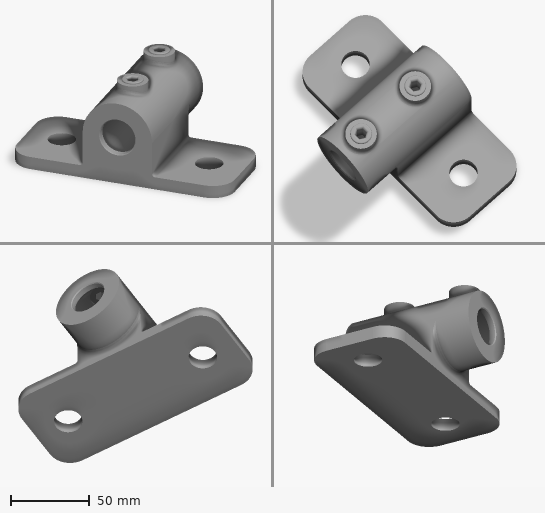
import cadquery as cq
import math

PLATE_LENGTH = 148.0
PLATE_WIDTH = 64.0
PLATE_THICKNESS = 8.5
PLATE_CORNER_RADIUS = 15.0
MOUNTING_HOLE_DIAMETER = 18.0
MOUNTING_HOLE_SPACING = 100.0

TUBE_LENGTH = 90.0
TUBE_DIAMETER = 47.0
TUBE_RADIUS = TUBE_DIAMETER / 2
AXIS_HEIGHT = PLATE_THICKNESS + TUBE_RADIUS
FILLET_RADIUS = 2.0

LIP_DIAMETER = 23.7
LIP_LENGTH = 4.5
LIP_CHAMFER = 0.6
RELIEF_DIAMETER = 34.0
RELIEF_RADIUS = RELIEF_DIAMETER / 2

BOSS_DIAMETER = 20.0
BOSS_TOP = 60.5
FRONT_BOSS_Y = 27.0
BOSS_SPACING = 47.0
BOSS_POSITIONS = [FRONT_BOSS_Y, FRONT_BOSS_Y + BOSS_SPACING]

SCREW_DIAMETER = 13.8
SCREW_TOP = 61.5
SCREW_BOTTOM = AXIS_HEIGHT + RELIEF_RADIUS
SCREW_RIM_RADIUS = 0.7
SOCKET_WIDTH = 6.4
SOCKET_MOUTH_RADIUS = 1.3


def along_y(sketch_plane_y):
    """XZ workplane at the given Y; a negative extrusion runs toward +Y."""
    return cq.Workplane("XZ", origin=(0, sketch_plane_y, 0))


def cylinder_z(diameter, center_y, bottom, top):
    """Upright cylinder on X = 0."""
    return cq.Workplane("XY", origin=(0, center_y, bottom)).circle(diameter / 2).extrude(top - bottom)


def make_plate():
    plate = (
        cq.Workplane("XY")
        .rect(PLATE_LENGTH, PLATE_WIDTH)
        .extrude(PLATE_THICKNESS)
        .edges("|Z")
        .fillet(PLATE_CORNER_RADIUS)
        .faces(">Z")
        .workplane()
        .pushPoints([(-MOUNTING_HOLE_SPACING / 2, 0), (MOUNTING_HOLE_SPACING / 2, 0)])
        .hole(MOUNTING_HOLE_DIAMETER)
    )
    return plate.translate((0, PLATE_WIDTH / 2, 0))


def make_web(start_y, length):
    """Arched web standing on the ground plane, with concave fillets at the top of the plate."""
    foot = TUBE_RADIUS + FILLET_RADIUS
    fillet_top = PLATE_THICKNESS + FILLET_RADIUS
    fillet_mid_x = foot - FILLET_RADIUS * math.sqrt(0.5)
    fillet_mid_z = fillet_top - FILLET_RADIUS * math.sqrt(0.5)
    return (
        along_y(start_y)
        .moveTo(-foot, 0)
        .lineTo(-foot, PLATE_THICKNESS)
        .threePointArc((-fillet_mid_x, fillet_mid_z), (-TUBE_RADIUS, fillet_top))
        .lineTo(-TUBE_RADIUS, AXIS_HEIGHT)
        .threePointArc((0, AXIS_HEIGHT + TUBE_RADIUS), (TUBE_RADIUS, AXIS_HEIGHT))
        .lineTo(TUBE_RADIUS, fillet_top)
        .threePointArc((fillet_mid_x, fillet_mid_z), (foot, PLATE_THICKNESS))
        .lineTo(foot, 0)
        .close()
        .extrude(-length)
    )


def make_rear_fillet():
    """Concave fillet between the rear face of the web and the underside of the tube."""
    outer = TUBE_RADIUS + FILLET_RADIUS
    rear = PLATE_WIDTH + FILLET_RADIUS
    mid_radius = outer - FILLET_RADIUS * math.sqrt(0.5)
    mid_y = rear - FILLET_RADIUS * math.sqrt(0.5)
    ring = (
        cq.Workplane("XY", origin=(0, 0, AXIS_HEIGHT))
        .moveTo(RELIEF_RADIUS, PLATE_WIDTH)
        .lineTo(outer, PLATE_WIDTH)
        .threePointArc((mid_radius, mid_y), (TUBE_RADIUS, rear))
        .lineTo(RELIEF_RADIUS, rear)
        .close()
        .revolve(360, (0, 0, 0), (0, 1, 0))
    )
    return ring.intersect(make_web(PLATE_WIDTH, FILLET_RADIUS))


def make_tube_with_bosses():
    tube = along_y(0).center(0, AXIS_HEIGHT).circle(TUBE_RADIUS).extrude(-TUBE_LENGTH)
    for boss_y in BOSS_POSITIONS:
        boss = cylinder_z(BOSS_DIAMETER, boss_y, AXIS_HEIGHT, BOSS_TOP)
        tube = tube.union(boss)
        joint = cq.selectors.BoxSelector(
            (-BOSS_DIAMETER / 2, boss_y - BOSS_DIAMETER / 2, AXIS_HEIGHT + TUBE_RADIUS / 2),
            (BOSS_DIAMETER / 2, boss_y + BOSS_DIAMETER / 2, AXIS_HEIGHT + TUBE_RADIUS),
        )
        tube = tube.edges(joint).fillet(FILLET_RADIUS)
    return tube


def make_bore():
    lip_radius = LIP_DIAMETER / 2
    mouth_radius = lip_radius + LIP_CHAMFER
    return (
        cq.Workplane("XY", origin=(0, 0, AXIS_HEIGHT))
        .polyline(
            [
                (0, 0),
                (mouth_radius, 0),
                (lip_radius, LIP_CHAMFER),
                (lip_radius, LIP_LENGTH),
                (RELIEF_RADIUS, LIP_LENGTH),
                (RELIEF_RADIUS, TUBE_LENGTH - LIP_LENGTH),
                (lip_radius, TUBE_LENGTH - LIP_LENGTH),
                (lip_radius, TUBE_LENGTH - LIP_CHAMFER),
                (mouth_radius, TUBE_LENGTH),
                (0, TUBE_LENGTH),
            ]
        )
        .close()
        .revolve(360, (0, 0, 0), (0, 1, 0))
    )


def make_housing():
    housing = make_tube_with_bosses()
    housing = housing.union(make_plate())
    housing = housing.union(make_web(0, PLATE_WIDTH))
    housing = housing.union(make_rear_fillet())
    housing = housing.cut(make_bore())
    for boss_y in BOSS_POSITIONS:
        housing = housing.cut(cylinder_z(SCREW_DIAMETER, boss_y, AXIS_HEIGHT, BOSS_TOP))
    return housing


def make_set_screw(center_y):
    """Set screw with a through hexagon socket, corners on X, rounded at the rim and the socket mouth."""
    screw = cylinder_z(SCREW_DIAMETER, center_y, SCREW_BOTTOM, SCREW_TOP)
    screw = screw.faces(">Z").edges().fillet(SCREW_RIM_RADIUS)
    socket_corner_diameter = SOCKET_WIDTH / math.cos(math.pi / 6)
    socket = (
        cq.Workplane("XY", origin=(0, center_y, SCREW_BOTTOM))
        .polygon(6, socket_corner_diameter)
        .extrude(SCREW_TOP - SCREW_BOTTOM)
    )
    return screw.cut(socket).faces(">Z").edges("%LINE").fillet(SOCKET_MOUTH_RADIUS)


housing = make_housing()
set_screws = [make_set_screw(boss_y) for boss_y in BOSS_POSITIONS]

result = cq.Compound.makeCompound([housing.solids().val(), *[screw.solids().val() for screw in set_screws]])